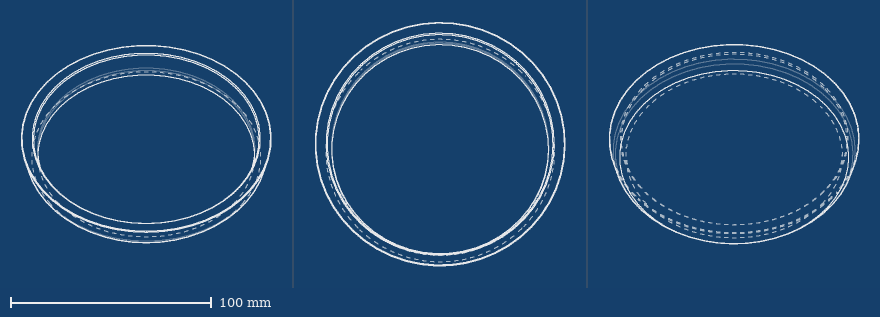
import cadquery as cq

height = 14.2
rim_radius = 62.3
base_radius = 57.0
base_bevel_radius = 59.2
base_bevel_height = 2.6
wall_foot_radius = 60.3
wall_foot_height = 5.0
shoulder_bulge = 0.15
rim_edge_break = 0.4

floor_radius = 108.0 / 2
floor_height = 1.0
floor_wall_height = 4.4
taper_foot_radius = floor_radius + 0.19
taper_foot_height = 6.0
taper_blend_bulge = 0.05
recess_radius = 56.2
mouth_chamfer = 0.6


def tray_profile():
    """Half section of the tray in the XZ plane, closed along the axis."""
    return (
        cq.Workplane("XZ")
        .lineTo(base_radius, 0)
        .lineTo(base_bevel_radius, base_bevel_height)
        .sagittaArc((wall_foot_radius, wall_foot_height), -shoulder_bulge)
        .lineTo(rim_radius, height - rim_edge_break)
        .lineTo(rim_radius - rim_edge_break, height)
        .lineTo(recess_radius + mouth_chamfer, height)
        .lineTo(recess_radius, height - mouth_chamfer)
        .lineTo(taper_foot_radius, taper_foot_height)
        .sagittaArc((floor_radius, floor_wall_height), -taper_blend_bulge)
        .lineTo(floor_radius, floor_height)
        .lineTo(0, floor_height)
        .close()
    )


result = tray_profile().revolve(360, (0, 0, 0), (0, 1, 0))